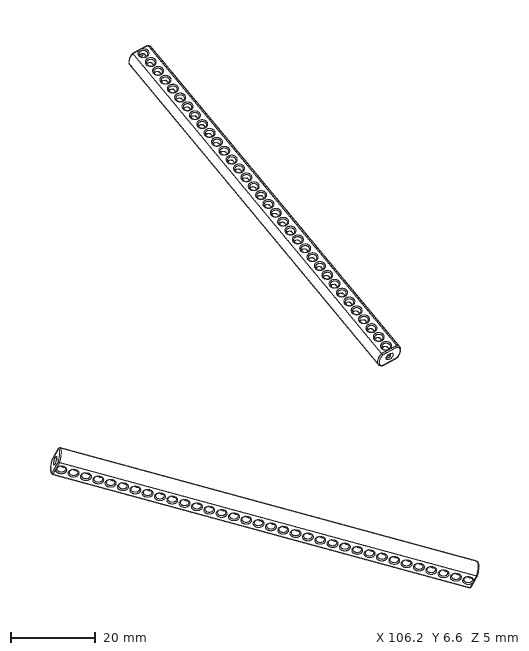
import cadquery as cq

length = 106.2
rod_diameter = 6.6
flat_height = 5.0
end_chamfer = 0.3

hole_count = 34
hole_pitch = length / hole_count
hole_diameter = 2.0
countersink_depth = 0.29
countersink_diameter = hole_diameter + 2 * countersink_depth
bore_diameter = 2.0


def flatted_rod():
    """Round rod along X, centred on the origin, cut to two parallel flats."""
    rod = cq.Workplane("YZ").circle(rod_diameter / 2).extrude(length / 2, both=True)
    slab = cq.Workplane("XY").box(length, rod_diameter, flat_height)
    return rod.intersect(slab).faces("<X or >X").chamfer(end_chamfer)


def cross_hole_cutter():
    """Revolved cutter along Z: a through hole with a 45 degree countersink at each flat."""
    hole_radius = hole_diameter / 2
    rim_radius = countersink_diameter / 2
    flat_z = flat_height / 2
    sink_z = flat_z - countersink_depth
    return (
        cq.Workplane("XZ")
        .moveTo(0, -flat_z)
        .lineTo(rim_radius, -flat_z)
        .lineTo(hole_radius, -sink_z)
        .lineTo(hole_radius, sink_z)
        .lineTo(rim_radius, flat_z)
        .lineTo(0, flat_z)
        .close()
        .revolve(360, (0, 0, 0), (0, 1, 0))
        .val()
    )


cutter = cross_hole_cutter()
hole_row = (
    cq.Workplane("XY")
    .rarray(hole_pitch, 1.1, hole_count, 1)
    .eachpoint(lambda place: cutter.moved(place))
)
bore = cq.Workplane("YZ").circle(bore_diameter / 2).extrude(length / 2, both=True)

result = flatted_rod().cut(bore).cut(hole_row)